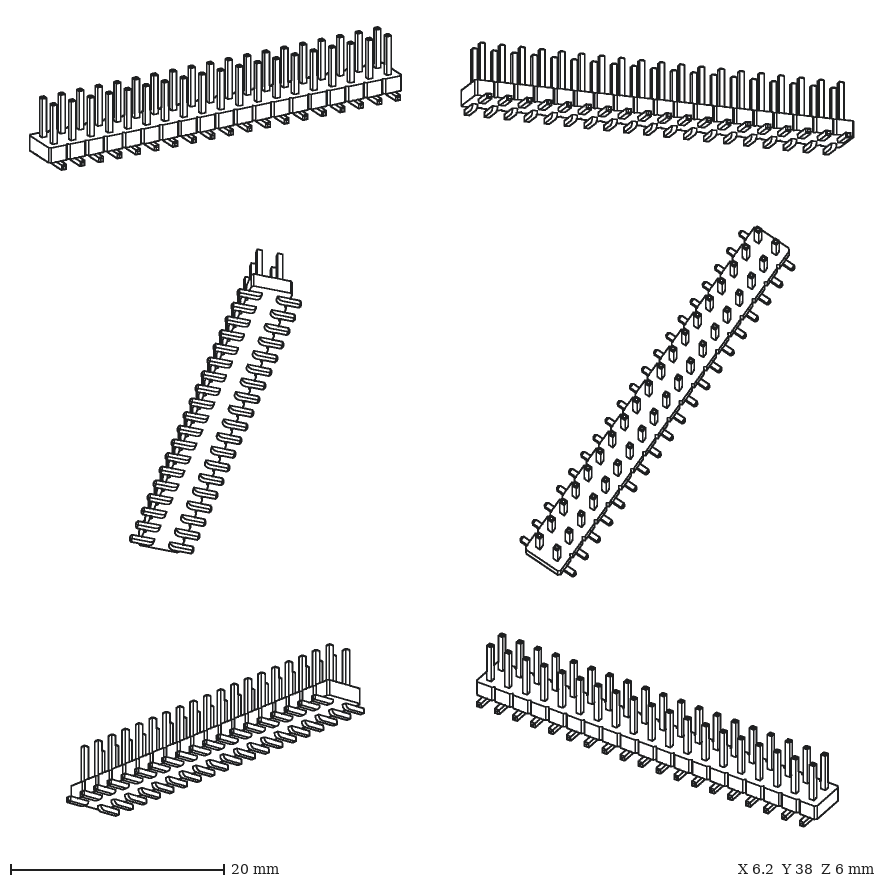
import cadquery as cq

positions = 19
length = 38.0
pitch = length / positions
rows = 2

body_width = rows * pitch
body_height = 1.52
notch_depth = 0.2

pin_size = 0.5
overall_width = 6.2
overall_height = 6.0
post_tip_length = 0.1
foot_tip_length = 0.15
tip_inset = 0.1
bend_radius = pin_size

body_bottom = pin_size
row_x = pitch / 2
foot_end_x = overall_width / 2
pin_inner_x = row_x - pin_size / 2


def position_y(index):
    """Y of the centre of one pin position, counted from the -Y end."""
    return (index - (positions - 1) / 2) * pitch


def make_body():
    """Insulator strip of joined cells, with a V notch between neighbours on both long sides."""
    side_x = body_width / 2
    notch_x = side_x - notch_depth
    flat_half = pitch / 2 - notch_depth
    right_side = [(notch_x, -length / 2)]
    for index in range(positions):
        y = position_y(index)
        right_side += [(side_x, y - flat_half), (side_x, y + flat_half), (notch_x, y + pitch / 2)]
    left_side = [(-x, y) for x, y in reversed(right_side)]
    outline = cq.Workplane("XY", origin=(0, 0, body_bottom)).polyline(right_side + left_side)
    return outline.close().extrude(body_height)


def make_tapered_bar(plane, bar_length, tip_length):
    """Square bar along the plane normal that ends in a blunt pyramid tip."""
    straight_length = bar_length - tip_length
    tip_size = pin_size - 2 * tip_inset
    straight = cq.Workplane(plane).rect(pin_size, pin_size).extrude(straight_length)
    tip = (
        cq.Workplane(plane)
        .workplane(offset=straight_length)
        .rect(pin_size, pin_size)
        .workplane(offset=tip_length)
        .rect(tip_size, tip_size)
        .loft()
    )
    return straight.union(tip)


def make_pin():
    """L-shaped pin of the +X row: upright post, rounded bend, outward foot."""
    post = make_tapered_bar("XY", overall_height, post_tip_length).translate((row_x, 0, 0))
    foot = make_tapered_bar("YZ", foot_end_x - pin_inner_x, foot_tip_length)
    foot = foot.translate((pin_inner_x, 0, pin_size / 2))
    bend_corner = cq.selectors.NearestToPointSelector((pin_inner_x, 0, 0))
    return post.union(foot).edges("|Y").edges(bend_corner).fillet(bend_radius)


def make_pin_pairs():
    """Every +X pin and its mirror image across the YZ plane, at all positions."""
    right_pin = make_pin()
    left_pin = right_pin.mirror("YZ")
    pins = []
    for index in range(positions):
        offset = (0, position_y(index), 0)
        pins += [right_pin.translate(offset).val(), left_pin.translate(offset).val()]
    return cq.Workplane("XY").newObject([cq.Compound.makeCompound(pins)])


result = make_body().union(make_pin_pairs())